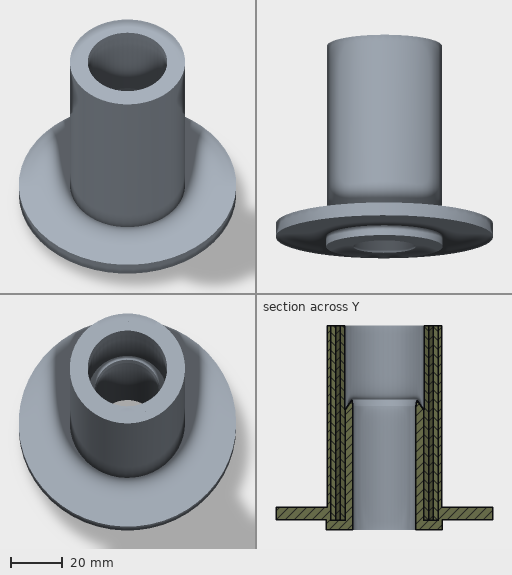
import cadquery as cq

TOTAL_HEIGHT = 79.0
COLLAR_HEIGHT = 3.9
FLANGE_THICKNESS = 5.0
FLOOR_THICKNESS = COLLAR_HEIGHT
SPIGOT_TOP = 50.4
SPIGOT_TAPER_HEIGHT = 4.0
INLET_DEPTH = 2.5

FLANGE_DIAMETER = 84.0
COLLAR_DIAMETER = 45.0
SLEEVE_DIAMETER = 44.5
HOSE_DIAMETER = 41.5
HOSE_BORE_DIAMETER = 30.7
SPIGOT_TIP_DIAMETER = 25.0
THROAT_DIAMETER = 24.1

HOSE_LAYER_COUNT = 3

FLANGE_TOP = COLLAR_HEIGHT + FLANGE_THICKNESS


def make_fitting():
    """Flanged socket: outer sleeve, flange, collar, floor and a tapered spigot inside."""
    spigot_shoulder = SPIGOT_TOP - SPIGOT_TAPER_HEIGHT
    inlet_bottom = SPIGOT_TOP - INLET_DEPTH
    profile = [
        (THROAT_DIAMETER / 2, 0),
        (COLLAR_DIAMETER / 2, 0),
        (COLLAR_DIAMETER / 2, COLLAR_HEIGHT),
        (FLANGE_DIAMETER / 2, COLLAR_HEIGHT),
        (FLANGE_DIAMETER / 2, FLANGE_TOP),
        (SLEEVE_DIAMETER / 2, FLANGE_TOP),
        (SLEEVE_DIAMETER / 2, TOTAL_HEIGHT),
        (HOSE_DIAMETER / 2, TOTAL_HEIGHT),
        (HOSE_DIAMETER / 2, FLOOR_THICKNESS),
        (HOSE_BORE_DIAMETER / 2, FLOOR_THICKNESS),
        (HOSE_BORE_DIAMETER / 2, spigot_shoulder),
        (SPIGOT_TIP_DIAMETER / 2, SPIGOT_TOP),
        (THROAT_DIAMETER / 2, inlet_bottom),
    ]
    return cq.Workplane("XZ").polyline(profile).close().revolve(360, (0, 0, 0), (0, 1, 0))


def make_hose_layer(outer_diameter, inner_diameter):
    """One layer of the hose, standing on the socket floor and flush with the sleeve at the top."""
    return (
        cq.Workplane("XY", origin=(0, 0, FLOOR_THICKNESS))
        .circle(outer_diameter / 2)
        .circle(inner_diameter / 2)
        .extrude(TOTAL_HEIGHT - FLOOR_THICKNESS)
    )


fitting = make_fitting()

layer_wall = (HOSE_DIAMETER - HOSE_BORE_DIAMETER) / 2 / HOSE_LAYER_COUNT
hose_layers = []
for layer in range(HOSE_LAYER_COUNT):
    layer_bore = HOSE_BORE_DIAMETER + 2 * layer * layer_wall
    hose_layers.append(make_hose_layer(layer_bore + 2 * layer_wall, layer_bore).val())

result = cq.Compound.makeCompound([fitting.val(), *hose_layers])